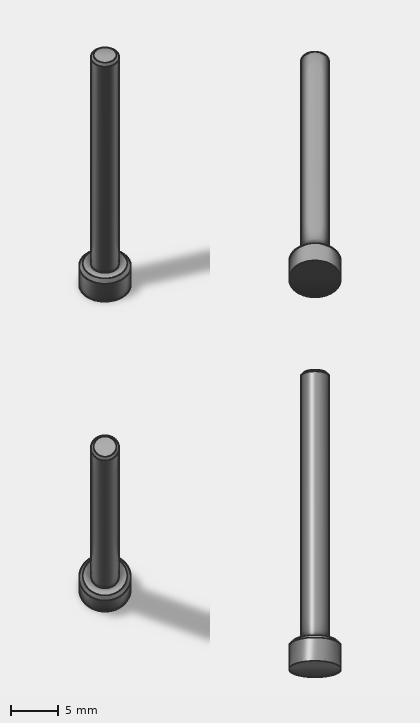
import cadquery as cq

head_diameter = 5.5
head_height = 3.0
head_chamfer = 0.4
shank_diameter = 3.0
shank_length = 30.0
tip_chamfer = 0.3


def chamfered_cylinder(diameter, height, chamfer, base_z):
    """Upright cylinder on the Z axis with its top edge chamfered."""
    cylinder = cq.Workplane("XY").workplane(offset=base_z).circle(diameter / 2).extrude(height)
    return cylinder.faces(">Z").edges().chamfer(chamfer)


head = chamfered_cylinder(head_diameter, head_height, head_chamfer, -head_height)
shank = chamfered_cylinder(shank_diameter, shank_length, tip_chamfer, 0)

result = head.union(shank)